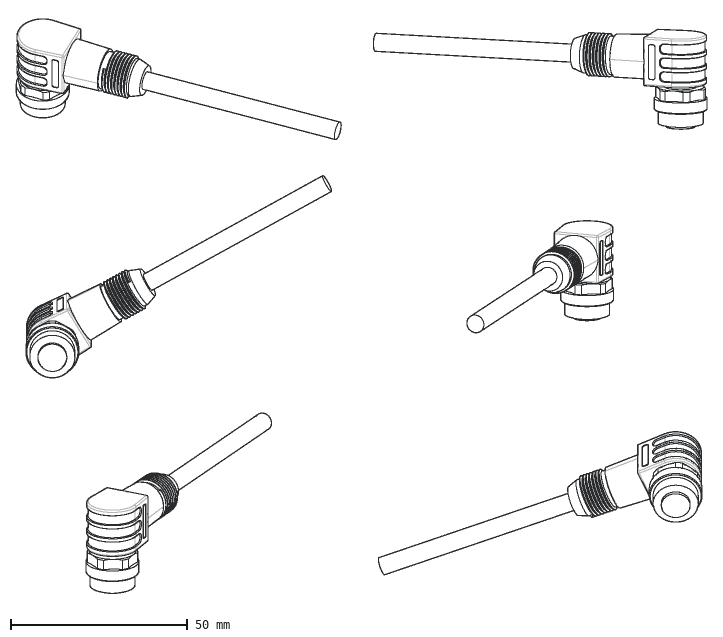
import cadquery as cq
import math


HOUSING_HEIGHT = 14.0
HOUSING_RADIUS = 7.3
HOUSING_BACK_X = 9.1
SIDE_TAPER_DEG = 4.0
HOUSING_EDGE_RADIUS = 0.5

GRIP_COUNT = 3
GRIP_PITCH = 4.0
GRIP_WIDTH = 3.0
GRIP_DEPTH = 0.4
GRIP_WALL_DEG = 25.0
GRIP_END_X = 4.2
GRIP_CORNER_RADIUS = 1.4

RECESS_CENTER_X = 6.5
RECESS_WIDTH = 1.95
RECESS_HEIGHT = 10.0
RECESS_CORNER_RADIUS = 0.6
RECESS_DEPTH = 0.2

NECK_END_X = 19.1
NECK_START_DIAMETER = 13.3
NECK_END_DIAMETER = 12.3
THREAD_ROOT_DIAMETER = 10.9
THREAD_CREST_DIAMETER = 12.3
THREAD_PITCH = 1.0
THREAD_START_X = 20.4
THREAD_START_DEG = 45
THREAD_TURNS = 7.25
THREAD_BASE_WIDTH = 0.9
THREAD_CREST_WIDTH = 0.2
THREAD_OVERLAP = 0.1
BOOT_START_X = 28.3
BOOT_END_X = 31.3
BOOT_END_DIAMETER = 8.7
CABLE_END_X = 90.0
CABLE_DIAMETER = 5.2

PLUG_NECK_DIAMETER = 8.7
HEX_TOP_Z = -8.0
HEX_ACROSS_FLATS = 13.3
HEX_CORNER_DIAMETER = 14.3
HEX_TURN_DEG = 30
HEX_CHAMFER_HEIGHT = 0.3
COLLAR_DIAMETER = 15.0
COLLAR_TOP_Z = -11.2
COLLAR_CONE_HEIGHT = 0.24
COLLAR_BOTTOM_Z = -14.5
COLLAR_CHAMFER = 0.3
SLEEVE_DIAMETER = 12.8
SLEEVE_BOTTOM_Z = -18.4
NOSE_DIAMETER = 8.2
NOSE_BOTTOM_Z = -19.4

TAPER = math.radians(SIDE_TAPER_DEG)
TANGENT_X = HOUSING_RADIUS * math.sin(TAPER)
TANGENT_Y = HOUSING_RADIUS * math.cos(TAPER)


def rod_x(x_start, x_end, diameter):
    return cq.Workplane("YZ", origin=(x_start, 0, 0)).circle(diameter / 2).extrude(x_end - x_start)


def rod_z(z_top, z_bottom, diameter):
    return cq.Workplane("XY", origin=(0, 0, z_bottom)).circle(diameter / 2).extrude(z_top - z_bottom)


def side_plane(side):
    """Plane on a tapered side (side = -1 or +1): origin on the tangent line, local y up, normal outward."""
    return cq.Plane(
        origin=(TANGENT_X, side * TANGENT_Y, 0),
        xDir=(-side * math.cos(TAPER), math.sin(TAPER), 0),
        normal=(math.sin(TAPER), side * math.cos(TAPER), 0),
    )


def side_pocket(side, x_start, x_end, z_center, height, corner_radius, depth, wall_deg):
    """Rounded rectangular cutter going into one tapered side of the housing."""
    along_start = (x_start - TANGENT_X) / math.cos(TAPER)
    along_end = (x_end - TANGENT_X) / math.cos(TAPER)
    outline = (
        cq.Sketch()
        .rect(along_end - along_start, height)
        .vertices()
        .fillet(corner_radius)
    )
    return (
        cq.Workplane(side_plane(side))
        .center(-side * (along_start + along_end) / 2, z_center)
        .placeSketch(outline)
        .extrude(-depth, taper=wall_deg)
    )


def housing_block():
    back_y = TANGENT_Y - (HOUSING_BACK_X - TANGENT_X) * math.tan(TAPER)
    return (
        cq.Workplane("XY", origin=(0, 0, -HOUSING_HEIGHT / 2))
        .moveTo(HOUSING_BACK_X, -back_y)
        .lineTo(HOUSING_BACK_X, back_y)
        .lineTo(TANGENT_X, TANGENT_Y)
        .threePointArc((-HOUSING_RADIUS, 0), (TANGENT_X, -TANGENT_Y))
        .close()
        .extrude(HOUSING_HEIGHT)
        .edges("|Z and >X or >Z or <Z")
        .fillet(HOUSING_EDGE_RADIUS)
    )


def grip_groove(z_center):
    """Groove with sloping walls around the round front, running out on both sides."""
    wall_run = GRIP_DEPTH * math.tan(math.radians(GRIP_WALL_DEG))
    half_width = GRIP_WIDTH / 2
    arc_deg = 180 + 2 * SIDE_TAPER_DEG
    ring = (
        cq.Workplane("XZ")
        .moveTo(HOUSING_RADIUS - GRIP_DEPTH, z_center - half_width + wall_run)
        .lineTo(HOUSING_RADIUS, z_center - half_width)
        .lineTo(HOUSING_RADIUS + GRIP_DEPTH, z_center - half_width)
        .lineTo(HOUSING_RADIUS + GRIP_DEPTH, z_center + half_width)
        .lineTo(HOUSING_RADIUS, z_center + half_width)
        .lineTo(HOUSING_RADIUS - GRIP_DEPTH, z_center + half_width - wall_run)
        .close()
        .revolve(arc_deg, (0, 0, 0), (0, 1, 0))
        .rotate((0, 0, 0), (0, 0, 1), 90 - SIDE_TAPER_DEG)
    )
    lead_in = TANGENT_X - 2 * GRIP_CORNER_RADIUS
    groove = ring
    for side in (-1, 1):
        groove = groove.union(
            side_pocket(
                side, lead_in, GRIP_END_X, z_center, GRIP_WIDTH, GRIP_CORNER_RADIUS, GRIP_DEPTH, GRIP_WALL_DEG
            )
        )
    return groove


def housing():
    body = housing_block()
    for index in range(GRIP_COUNT):
        body = body.cut(grip_groove((index - (GRIP_COUNT - 1) / 2) * GRIP_PITCH))
    for side in (-1, 1):
        body = body.cut(
            side_pocket(
                side,
                RECESS_CENTER_X - RECESS_WIDTH / 2,
                RECESS_CENTER_X + RECESS_WIDTH / 2,
                0,
                RECESS_HEIGHT,
                RECESS_CORNER_RADIUS,
                RECESS_DEPTH,
                0,
            )
        )
    return body


def neck_half(start_height, end_height, z_side):
    """Half of the neck above (z_side = 1) or below (z_side = -1) the cable axis."""
    start_radius = NECK_START_DIAMETER / 2
    end_radius = NECK_END_DIAMETER / 2
    start_x = HOUSING_BACK_X - HOUSING_EDGE_RADIUS
    whole = (
        cq.Workplane("YZ", origin=(start_x, 0, 0))
        .ellipse(start_radius, start_height)
        .workplane(offset=NECK_END_X - start_x)
        .ellipse(end_radius, end_height)
        .loft(ruled=True)
    )
    keep = cq.Workplane("XY").box(2 * NECK_END_X, 2 * NECK_START_DIAMETER, NECK_START_DIAMETER)
    return whole.intersect(keep.translate((0, 0, z_side * start_radius)))


def neck():
    """The upper half tapers in height, the lower half only in width."""
    upper = neck_half(NECK_START_DIAMETER / 2, NECK_END_DIAMETER / 2, 1)
    lower = neck_half(NECK_END_DIAMETER / 2, NECK_END_DIAMETER / 2, -1)
    return upper.union(lower)


def thread():
    """Right-handed ridge, started THREAD_START_DEG above the -Y side and sunk slightly into its core."""
    root_radius = THREAD_ROOT_DIAMETER / 2
    crest_radius = THREAD_CREST_DIAMETER / 2
    base_radius = root_radius - THREAD_OVERLAP
    helix = cq.Wire.makeHelix(THREAD_PITCH, THREAD_PITCH * THREAD_TURNS, root_radius)
    ridge = (
        cq.Workplane("XZ")
        .moveTo(base_radius, -THREAD_BASE_WIDTH / 2)
        .lineTo(crest_radius, -THREAD_CREST_WIDTH / 2)
        .lineTo(crest_radius, THREAD_CREST_WIDTH / 2)
        .lineTo(base_radius, THREAD_BASE_WIDTH / 2)
        .close()
        .sweep(cq.Workplane(obj=helix), isFrenet=True)
    )
    return (
        ridge.rotate((0, 0, 0), (0, 1, 0), 90)
        .rotate((0, 0, 0), (1, 0, 0), -90 - THREAD_START_DEG)
        .translate((THREAD_START_X, 0, 0))
    )


def boot():
    return (
        cq.Workplane("YZ", origin=(BOOT_START_X, 0, 0))
        .circle(THREAD_ROOT_DIAMETER / 2)
        .workplane(offset=BOOT_END_X - BOOT_START_X)
        .circle(BOOT_END_DIAMETER / 2)
        .loft(ruled=True)
    )


def coupling_nut():
    """Hexagon with turned corners above a collar with a conical top."""
    flat_radius = HEX_ACROSS_FLATS / 2
    corner_radius = HEX_CORNER_DIAMETER / 2
    collar_radius = COLLAR_DIAMETER / 2
    hexagon = (
        cq.Workplane("XY", origin=(0, 0, COLLAR_TOP_Z))
        .polygon(6, HEX_ACROSS_FLATS, circumscribed=True)
        .extrude(HEX_TOP_Z - COLLAR_TOP_Z)
        .rotate((0, 0, 0), (0, 0, 1), HEX_TURN_DEG)
    )
    turned_corners = (
        cq.Workplane("XZ")
        .moveTo(0, COLLAR_TOP_Z)
        .lineTo(corner_radius, COLLAR_TOP_Z)
        .lineTo(corner_radius, HEX_TOP_Z - HEX_CHAMFER_HEIGHT)
        .lineTo(flat_radius, HEX_TOP_Z)
        .lineTo(0, HEX_TOP_Z)
        .close()
        .revolve(360, (0, 0, 0), (0, 1, 0))
    )
    collar = (
        cq.Workplane("XZ")
        .moveTo(0, COLLAR_BOTTOM_Z)
        .lineTo(collar_radius - COLLAR_CHAMFER, COLLAR_BOTTOM_Z)
        .lineTo(collar_radius, COLLAR_BOTTOM_Z + COLLAR_CHAMFER)
        .lineTo(collar_radius, COLLAR_TOP_Z)
        .lineTo(flat_radius, COLLAR_TOP_Z + COLLAR_CONE_HEIGHT)
        .lineTo(0, COLLAR_TOP_Z + COLLAR_CONE_HEIGHT)
        .close()
        .revolve(360, (0, 0, 0), (0, 1, 0))
    )
    return hexagon.intersect(turned_corners).union(collar)


def plug():
    return (
        rod_z(0, HEX_TOP_Z, PLUG_NECK_DIAMETER)
        .union(coupling_nut())
        .union(rod_z(COLLAR_BOTTOM_Z, SLEEVE_BOTTOM_Z, SLEEVE_DIAMETER))
        .union(rod_z(SLEEVE_BOTTOM_Z, NOSE_BOTTOM_Z, NOSE_DIAMETER))
    )


cable_side = (
    rod_x(NECK_END_X, BOOT_START_X, THREAD_ROOT_DIAMETER)
    .union(thread())
    .union(boot())
    .union(rod_x(BOOT_END_X, CABLE_END_X, CABLE_DIAMETER))
    .union(neck())
)
result = housing().union(cable_side).union(plug())